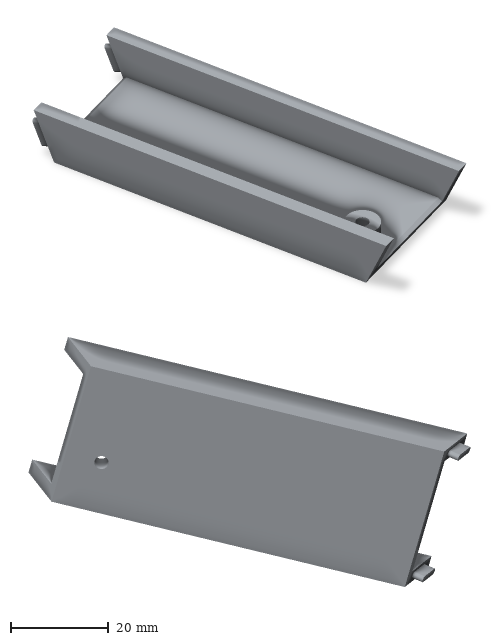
import cadquery as cq
import math

overall_length = 85.5
width = 31.5
height = 11.7
wall_thickness = 3.0
floor_thickness = 2.65
end_setback = 4.9

bevel_height = 0.6
bevel_length = 0.85

tab_length = 6.7
tab_thickness = 1.4
tab_reach = 2.4
tab_root = 0.85
tab_outer_offset = 1.6

boss_diameter = 7.6
boss_hole_diameter = 2.9
boss_top = 5.1
boss_x = 30.3
boss_y = -4.6

end_angle = math.atan2(end_setback, height)
tab_overhang = (
    tab_reach * math.cos(end_angle)
    + tab_length / 2 * math.sin(end_angle)
    - end_setback / 2
)
max_x = overall_length / 2
min_x = -max_x + tab_overhang
mid_x = (min_x + max_x) / 2


def make_channel():
    """Trapezoidal block hollowed along X, leaving a floor and two walls."""
    block = (
        cq.Workplane("XZ")
        .polyline([
            (min_x, height),
            (min_x + end_setback, 0),
            (max_x - end_setback, 0),
            (max_x, height),
        ])
        .close()
        .extrude(width / 2, both=True)
    )

    bevel_z = floor_thickness - bevel_height
    bevel_x = min_x + end_setback * (1 - bevel_z / height)
    cavity_left = [
        (bevel_x + bevel_length, floor_thickness),
        (bevel_x, bevel_z),
        (-overall_length, bevel_z),
        (-overall_length, height),
    ]
    cavity_right = [(2 * mid_x - x, z) for x, z in reversed(cavity_left)]
    cavity = (
        cq.Workplane("XZ")
        .polyline(cavity_left + cavity_right)
        .close()
        .extrude(width / 2 - wall_thickness, both=True)
    )
    return block.cut(cavity)


def make_tab(y):
    """Tab with rounded ends, centred on the sloping end of one wall."""
    end_plane = cq.Plane(
        origin=(min_x + end_setback / 2, y, height / 2),
        xDir=(-math.sin(end_angle), 0, math.cos(end_angle)),
        normal=(-math.cos(end_angle), 0, -math.sin(end_angle)),
    )
    return (
        cq.Workplane(end_plane)
        .workplane(offset=-tab_root)
        .slot2D(tab_length, tab_thickness)
        .extrude(tab_root + tab_reach)
    )


def add_boss(body):
    """Boss rising from the floor, with a hole through boss and floor."""
    base = cq.Workplane("XY").center(boss_x, boss_y)
    boss = base.circle(boss_diameter / 2).extrude(boss_top)
    hole = base.circle(boss_hole_diameter / 2).extrude(boss_top)
    return body.union(boss).cut(hole)


result = make_channel()
for side in (-1, 1):
    result = result.union(make_tab(side * (width / 2 - tab_outer_offset)))
result = add_boss(result)